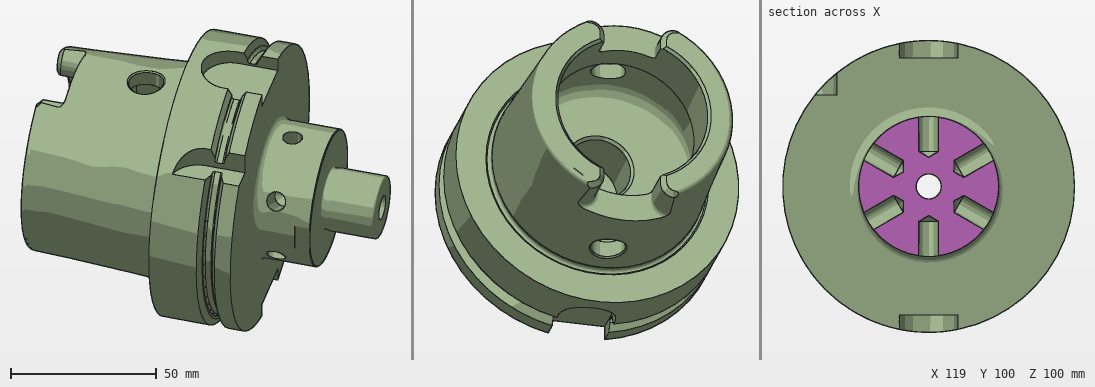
import cadquery as cq
import math


SHANK_LENGTH = 50.0
SHANK_ROOT_R = 37.9
SHANK_TIP_R = 35.5
TIP_ROUND = 1.9

RELIEF_R = 75.25 / 2
RELIEF_START = -2.4
RELIEF_FLOOR_START = -1.6
RELIEF_FLOOR_END = -0.75
FACE_RECESS_DEPTH = 0.4
FACE_RECESS_FLOOR_R = 38.9
FACE_RECESS_R = 39.4

FLANGE_R = 50.0
FLANGE_WIDTH = 29.0
GROOVE_MOUTH = (16.9, 23.35)
GROOVE_NECK = (18.3, 21.7)
GROOVE_BOTTOM_R = 46.0
GROOVE_WALL_ANGLE = 30.0
GROOVE_CORNER = 0.7

BOSS_R = 24.0
BOSS_END = 50.0
BOSS_ROOT_FILLET = 3.0
BOSS_EDGE = 0.3
PILOT_R = 11.0
PILOT_END = 69.0
PILOT_START = 52.7
PILOT_RELIEF_R = 21.4 / 2
PILOT_RELIEF_FILLET = 0.5
PILOT_RELIEF_FLOOR_END = 51.4
PILOT_ROUND = 0.8

BORE_R = 53.0 / 2
BORE_CHAMFER = 1.0
BORE_END = -30.0
CAVITY_R = 63.0 / 2
SHOULDER_ANGLE = 60.0
CAVITY_STRAIGHT_END = -9.4
CAVITY_FLOOR_R = 25.0
SOCKET_R = 22.5 / 2
SOCKET_MOUTH_R = 24.5 / 2
SOCKET_DEPTH = 20.0
THROUGH_R = 8.5 / 2

DRIVE_SLOT_HALF_WIDTH = 10.0
DRIVE_SLOT_DEPTH_TOP = 9.8
DRIVE_SLOT_DEPTH_BOTTOM = 14.8
DRIVE_SLOT_SHOULDER_Z = 32.2
DRIVE_SLOT_FLARE_R = 5.0
DRIVE_SLOT_FLOOR_FILLET = 1.8
DRIVE_SLOT_MOUTH_CHAMFER = 1.75

CROSS_HOLE_X = -15.0
CROSS_HOLE_D = 12.0
CROSS_HOLE_CHAMFER = 0.5

KEYWAY_R = 10.0
KEYWAY_START = 5.0
KEYWAY_FLOOR = 44.0
NOTCH_OFFSET = 31.4

RADIAL_HOLE_COUNT = 6
RADIAL_HOLE_X = 37.1
RADIAL_HOLE_D = 6.65
RADIAL_HOLE_DEPTH = 12.0
DRILL_TIP_ANGLE = 118.0
BOSS_FLAT_OFFSET = 23.5
BOSS_FLAT_LENGTH = 5.5

MATCH_TOLERANCE = 0.01
OVERCUT = 5.0


def revolve_about_x(outline):
    return outline.close().revolve(360, (0, 0, 0), (1, 0, 0))


def quarter_arc(outline, center, radius, mid_angle, end):
    """Continue the outline along an arc given by its centre and middle direction."""
    angle = math.radians(mid_angle)
    mid = (center[0] + radius * math.cos(angle), center[1] + radius * math.sin(angle))
    return outline.threePointArc(mid, end)


def turned_body():
    """Solid of revolution with all outside diameters."""
    wall_slope = math.tan(math.radians(GROOVE_WALL_ANGLE))
    left_wall_r = FLANGE_R - (GROOVE_NECK[0] - GROOVE_MOUTH[0]) / wall_slope
    right_wall_r = FLANGE_R - (GROOVE_MOUTH[1] - GROOVE_NECK[1]) / wall_slope
    corner_r = GROOVE_BOTTOM_R + GROOVE_CORNER
    left_corner_x = GROOVE_NECK[0] + GROOVE_CORNER
    right_corner_x = GROOVE_NECK[1] - GROOVE_CORNER
    round_x = -SHANK_LENGTH + TIP_ROUND

    outline = (
        cq.Workplane("XY")
        .moveTo(-SHANK_LENGTH, 0)
        .lineTo(-SHANK_LENGTH, SHANK_TIP_R - TIP_ROUND)
    )
    outline = quarter_arc(
        outline, (round_x, SHANK_TIP_R - TIP_ROUND), TIP_ROUND, 135, (round_x, SHANK_TIP_R)
    )
    outline = (
        outline.lineTo(RELIEF_START, SHANK_ROOT_R)
        .lineTo(RELIEF_FLOOR_START, RELIEF_R)
        .lineTo(RELIEF_FLOOR_END, RELIEF_R)
        .tangentArcPoint((FACE_RECESS_DEPTH, FACE_RECESS_FLOOR_R), relative=False)
        .lineTo(0, FACE_RECESS_R)
        .lineTo(0, FLANGE_R)
        .lineTo(GROOVE_MOUTH[0], FLANGE_R)
        .lineTo(GROOVE_NECK[0], left_wall_r)
        .lineTo(GROOVE_NECK[0], corner_r)
    )
    outline = quarter_arc(
        outline, (left_corner_x, corner_r), GROOVE_CORNER, 225, (left_corner_x, GROOVE_BOTTOM_R)
    )
    outline = outline.lineTo(right_corner_x, GROOVE_BOTTOM_R)
    outline = quarter_arc(
        outline, (right_corner_x, corner_r), GROOVE_CORNER, 315, (GROOVE_NECK[1], corner_r)
    )
    outline = (
        outline.lineTo(GROOVE_NECK[1], right_wall_r)
        .lineTo(GROOVE_MOUTH[1], FLANGE_R)
        .lineTo(FLANGE_WIDTH, FLANGE_R)
        .lineTo(FLANGE_WIDTH, BOSS_R + BOSS_ROOT_FILLET)
    )
    root_x = FLANGE_WIDTH + BOSS_ROOT_FILLET
    outline = quarter_arc(
        outline, (root_x, BOSS_R + BOSS_ROOT_FILLET), BOSS_ROOT_FILLET, 225, (root_x, BOSS_R)
    )
    outline = (
        outline.lineTo(BOSS_END - BOSS_EDGE, BOSS_R)
        .lineTo(BOSS_END, BOSS_R - BOSS_EDGE)
        .lineTo(BOSS_END, PILOT_RELIEF_R + PILOT_RELIEF_FILLET)
    )
    relief_x = BOSS_END + PILOT_RELIEF_FILLET
    relief_center_r = PILOT_RELIEF_R + PILOT_RELIEF_FILLET
    outline = quarter_arc(
        outline, (relief_x, relief_center_r), PILOT_RELIEF_FILLET, 225, (relief_x, PILOT_RELIEF_R)
    )
    outline = (
        outline.lineTo(PILOT_RELIEF_FLOOR_END, PILOT_RELIEF_R)
        .lineTo(PILOT_START, PILOT_R)
        .lineTo(PILOT_END - PILOT_ROUND, PILOT_R)
    )
    end_center = (PILOT_END - PILOT_ROUND, PILOT_R - PILOT_ROUND)
    outline = quarter_arc(outline, end_center, PILOT_ROUND, 45, (PILOT_END, end_center[1]))
    return revolve_about_x(outline.lineTo(PILOT_END, 0))


def clamping_cavity():
    """Bore, clamping undercut, threaded socket and coolant passage."""
    shoulder_length = (CAVITY_R - BORE_R) / math.tan(math.radians(SHOULDER_ANGLE))
    floor_fillet = CAVITY_R - CAVITY_FLOOR_R
    floor_x = CAVITY_STRAIGHT_END + floor_fillet
    socket_end = floor_x + SOCKET_DEPTH

    outline = (
        cq.Workplane("XY")
        .moveTo(-SHANK_LENGTH, 0)
        .lineTo(-SHANK_LENGTH, BORE_R + BORE_CHAMFER)
        .lineTo(-SHANK_LENGTH + BORE_CHAMFER, BORE_R)
        .lineTo(BORE_END, BORE_R)
        .lineTo(BORE_END + shoulder_length, CAVITY_R)
        .lineTo(CAVITY_STRAIGHT_END, CAVITY_R)
    )
    outline = quarter_arc(
        outline, (CAVITY_STRAIGHT_END, CAVITY_FLOOR_R), floor_fillet, 45, (floor_x, CAVITY_FLOOR_R)
    )
    outline = (
        outline.lineTo(floor_x, SOCKET_MOUTH_R)
        .lineTo(floor_x + SOCKET_MOUTH_R - SOCKET_R, SOCKET_R)
        .lineTo(socket_end, SOCKET_R)
        .lineTo(socket_end, THROUGH_R)
        .lineTo(PILOT_END, THROUGH_R)
        .lineTo(PILOT_END, 0)
    )
    return revolve_about_x(outline)


def drive_slot(depth):
    """Slot at +Z, open at the shank tip, whose walls flare out onto a flat shoulder."""
    half = DRIVE_SLOT_HALF_WIDTH
    flare_z = DRIVE_SLOT_SHOULDER_Z - DRIVE_SLOT_FLARE_R
    flare_y = half + DRIVE_SLOT_FLARE_R
    outer_y = SHANK_ROOT_R
    outer_z = SHANK_ROOT_R + OVERCUT
    outline = cq.Workplane("YZ", origin=(-SHANK_LENGTH, 0, 0)).moveTo(-half, 0).lineTo(-half, flare_z)
    outline = quarter_arc(
        outline, (-flare_y, flare_z), DRIVE_SLOT_FLARE_R, 45, (-flare_y, DRIVE_SLOT_SHOULDER_Z)
    )
    outline = (
        outline.lineTo(-outer_y, DRIVE_SLOT_SHOULDER_Z)
        .lineTo(-outer_y, outer_z)
        .lineTo(outer_y, outer_z)
        .lineTo(outer_y, DRIVE_SLOT_SHOULDER_Z)
        .lineTo(flare_y, DRIVE_SLOT_SHOULDER_Z)
    )
    outline = quarter_arc(outline, (flare_y, flare_z), DRIVE_SLOT_FLARE_R, 135, (half, flare_z))
    slot = outline.lineTo(half, 0).close().extrude(depth)
    slot = slot.faces(">X").edges().fillet(DRIVE_SLOT_FLOOR_FILLET)

    plate_width = 2 * (outer_y + OVERCUT)
    plate_height = outer_z + 2 * OVERCUT
    plate = cq.Workplane("XY").box(
        OVERCUT, plate_width, plate_height, centered=(False, True, False)
    ).translate((-SHANK_LENGTH - OVERCUT, 0, -OVERCUT))
    cutter = plate.union(slot)
    mouth = cq.selectors.BoxSelector(
        (-SHANK_LENGTH - MATCH_TOLERANCE, -outer_y, MATCH_TOLERANCE),
        (-SHANK_LENGTH + MATCH_TOLERANCE, outer_y, outer_z - MATCH_TOLERANCE),
    )
    return cutter.edges(mouth).chamfer(DRIVE_SLOT_MOUTH_CHAMFER)


def cut_cross_holes(body):
    """Drill through both shank walls and break the outer rims."""
    drill = (
        cq.Workplane("XY", origin=(CROSS_HOLE_X, 0, -FLANGE_R))
        .circle(CROSS_HOLE_D / 2)
        .extrude(2 * FLANGE_R)
    )
    body = body.cut(drill)
    reach = CROSS_HOLE_D / 2 + CROSS_HOLE_CHAMFER
    for side in (1, -1):
        rim = cq.selectors.BoxSelector(
            (CROSS_HOLE_X - reach, -reach, side * (CAVITY_R + CROSS_HOLE_CHAMFER)),
            (CROSS_HOLE_X + reach, reach, side * FLANGE_R),
        )
        body = body.edges(rim).chamfer(CROSS_HOLE_CHAMFER)
    return body


def round_ended_keyway(center_y, floor_z):
    """Slot cut from above, with a round end toward the shank."""
    length = FLANGE_WIDTH - KEYWAY_START + OVERCUT
    height = FLANGE_R + OVERCUT - floor_z
    end = (
        cq.Workplane("XY", origin=(KEYWAY_START + KEYWAY_R, center_y, floor_z))
        .circle(KEYWAY_R)
        .extrude(height)
    )
    straight = cq.Workplane("XY").box(
        length - KEYWAY_R, 2 * KEYWAY_R, height, centered=(False, True, False)
    )
    return end.union(straight.translate((KEYWAY_START + KEYWAY_R, center_y, floor_z)))


def radial_hole(angle):
    tip_length = RADIAL_HOLE_D / 2 / math.tan(math.radians(DRILL_TIP_ANGLE / 2))
    bottom_z = BOSS_R - RADIAL_HOLE_DEPTH
    hole = (
        cq.Workplane("XZ")
        .moveTo(0, bottom_z - tip_length)
        .lineTo(RADIAL_HOLE_D / 2, bottom_z)
        .lineTo(RADIAL_HOLE_D / 2, BOSS_R + OVERCUT)
        .lineTo(0, BOSS_R + OVERCUT)
        .close()
        .revolve(360, (0, 0, 0), (0, 1, 0))
    )
    return hole.translate((RADIAL_HOLE_X, 0, 0)).rotate((0, 0, 0), (1, 0, 0), angle)


def boss_flat():
    """Cutter for the flat on the -Y side of the boss, at its free end."""
    return cq.Workplane("XY").box(BOSS_FLAT_LENGTH, OVERCUT, 2 * BOSS_R).translate(
        (BOSS_END - BOSS_FLAT_LENGTH / 2, -BOSS_FLAT_OFFSET - OVERCUT / 2, 0)
    )


def opposite(body):
    """The same body turned half a turn about the axis."""
    return body.rotate((0, 0, 0), (1, 0, 0), 180)


body = turned_body().cut(clamping_cavity())

body = body.cut(drive_slot(DRIVE_SLOT_DEPTH_TOP))
body = body.cut(opposite(drive_slot(DRIVE_SLOT_DEPTH_BOTTOM)))

body = cut_cross_holes(body)

keyway = round_ended_keyway(0, KEYWAY_FLOOR)
body = body.cut(keyway).cut(opposite(keyway))
body = body.cut(round_ended_keyway(-NOTCH_OFFSET - KEYWAY_R, NOTCH_OFFSET))

for index in range(RADIAL_HOLE_COUNT):
    body = body.cut(radial_hole(index * 360 / RADIAL_HOLE_COUNT))
body = body.cut(boss_flat()).cut(opposite(boss_flat()))

result = body